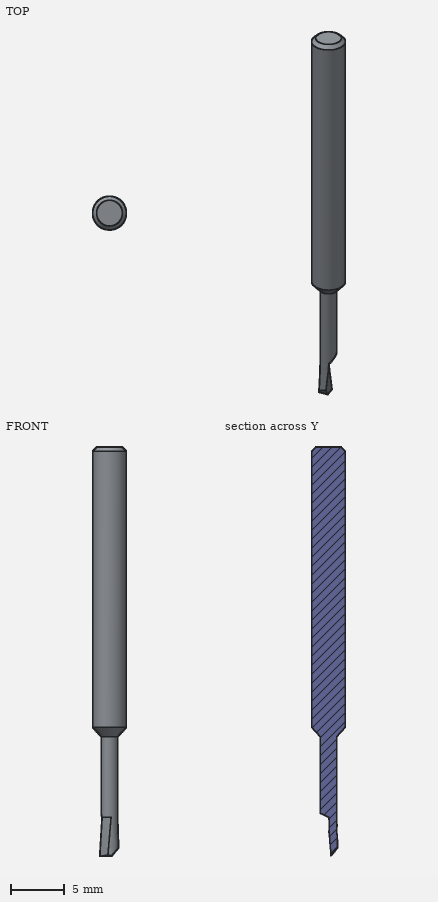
import cadquery as cq
import math

length = 38.1
shank_radius = 1.58
end_chamfer = 0.4
neck_radius = 0.78
taper_top = 12.0
taper_bottom = 11.13

head_top = 3.62
tip_radius = 0.9
rake_twist = 26.0
gullet_height = 0.85
corner_height = 0.88
bevel_start = 0.2
end_relief = 0.1

heel_angle = 260.0
heel_twist = 21.0
margin = 1.9


def polar(radius, angle):
    radians = math.radians(angle)
    return radius * math.cos(radians), radius * math.sin(radians)


def make_shank_and_neck():
    return (
        cq.Workplane("XZ")
        .moveTo(0, head_top)
        .lineTo(neck_radius, head_top)
        .lineTo(neck_radius, taper_bottom)
        .lineTo(shank_radius, taper_top)
        .lineTo(shank_radius, length - end_chamfer)
        .lineTo(shank_radius - end_chamfer, length)
        .lineTo(0, length)
        .close()
        .revolve(360, (0, 0, 0), (0, 1, 0))
    )


def make_gullet():
    """Wedge that slopes from the axis out to the side of the neck behind the rake face."""
    slope_end = neck_radius + margin
    slope_top = head_top + gullet_height * slope_end / neck_radius
    return (
        cq.Workplane("YZ")
        .polyline([(0, head_top), (slope_end, head_top), (slope_end, slope_top)])
        .close()
        .extrude(margin, both=True)
        .rotate((0, 0, 0), (0, 0, 1), rake_twist)
    )


def head_section(plane, radius, twist, heel):
    """Half disc in front of the rake face, with a flat flank behind the cutting edge."""
    back = 360 + twist
    return (
        plane.moveTo(*polar(radius, 180 + twist))
        .lineTo(*polar(radius, heel))
        .threePointArc(polar(radius, (heel + back) / 2), polar(radius, back))
        .close()
    )


def make_head():
    lower = head_section(cq.Workplane("XY"), tip_radius, 0, heel_angle)
    neck_end = lower.workplane(offset=head_top)
    upper = head_section(neck_end, neck_radius, rake_twist, heel_angle + heel_twist)
    return upper.loft(ruled=True)


def make_corner_bevel():
    slope = corner_height / (tip_radius - bevel_start)
    outer = tip_radius + margin
    return (
        cq.Workplane("XZ")
        .polyline([(bevel_start, 0), (outer, 0), (outer, slope * (outer - bevel_start))])
        .close()
        .extrude(margin, both=True)
    )


def make_end_relief():
    return (
        cq.Workplane("YZ")
        .polyline([(0, 0), (-tip_radius, 0), (-tip_radius, end_relief)])
        .close()
        .extrude(margin, both=True)
    )


bar = make_shank_and_neck().cut(make_gullet())
head = make_head().cut(make_corner_bevel()).cut(make_end_relief())
result = bar.union(head)